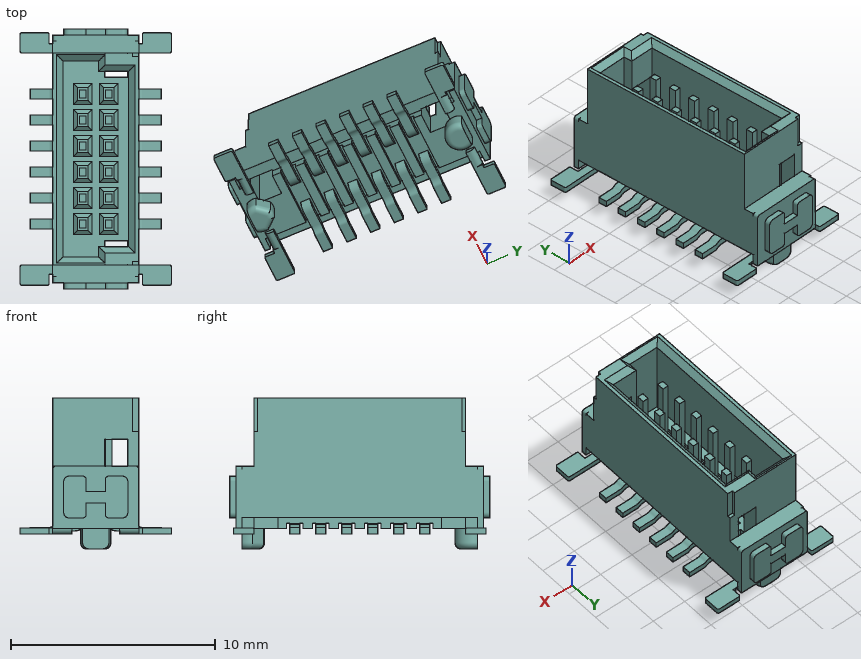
import cadquery as cq
import math


HOUSING_WIDTH = 4.2
SHROUD_LENGTH = 10.35
BASE_LENGTH = 12.1
HOUSING_BOTTOM = 0.27
SHOULDER_Z = 3.32
HOUSING_TOP = 6.65
SHOULDER_ROUND = 0.15
SHOULDER_ROUND_LENGTH = 0.3

CAVITY_HALF_WIDTH = 1.6
CAVITY_HALF_LENGTH = 4.78
KEY_HALF_LENGTH = 4.275
KEY_X = 0.14
CAVITY_FLOOR = 2.0
MOUTH_CHAMFER = 0.31

LATCH_SLOT_X = (0.44, 1.56)
LATCH_SLOT_TOP = 4.62
LATCH_SLOT_START = 4.0

RELIEF_X = 0.3
RELIEF_Y = 0.17
RELIEF_DEPTH = 1.63

RECESS_LENGTH = 11.52
RECESS_TOP = 0.81
RECESS_DEPTH = 0.6

OVERALL_LENGTH = 12.7
H_WIDTH = 3.13
H_LEG_GAP = 0.93
H_BOTTOM = 0.79
H_TOP = 2.83
H_BAR_BOTTOM = 1.51
H_BAR_TOP = 2.09
H_OUTER_RADIUS = 0.26
H_INNER_RADIUS = 0.17

PITCH = 1.27
PINS_PER_ROW = 6
PIN_SECTION = (0.32, 0.4)
PIN_TOP = 5.64
COLLAR_BASE = (0.9, 1.02)
COLLAR_HEIGHT = 0.2
LEAD_WIDTH = 0.5
LEAD_TIP_X = 3.2
LEAD_THICKNESS = PIN_SECTION[0]
LEAD_RISE = 0.15
RAMP_X = (1.83, 2.28)
RAMP_INFLECTION = 0.3
BEND_RADIUS = 0.55
NOTCH_WIDTH = 0.8
NOTCH_TOP = 0.52

TAB_SPAN = 7.4
TAB_THICKNESS = 0.3
TAB_Y = (5.165, 6.17)
TAB_INNER_X = 1.17
TAB_NECK_X = 2.28
TAB_NECK_Y = 5.63
TAB_CORNER_RADIUS = 0.1
TAB_NOTCH_RADIUS = 0.07
TAB_BEND_RADIUS = 0.28

PEG_RADIUS = 0.74
PEG_Y = 5.39
PEG_BOTTOM = -0.73
PEG_ROUND = 0.3
PEG_OUTER_FLAT_Y = RECESS_LENGTH / 2
PEG_FACET_OFFSET = 0.644
PEG_FACET_ANGLE = 41.5

SIDES = (-1, 1)
PIN_YS = [(i - (PINS_PER_ROW - 1) / 2) * PITCH for i in range(PINS_PER_ROW)]


def box(x_range, y_range, z_range):
    """Box between two coordinates on each axis, given in either order."""
    ranges = [sorted(r) for r in (x_range, y_range, z_range)]
    sizes = [high - low for low, high in ranges]
    corner = tuple(low for low, high in ranges)
    return cq.Workplane("XY").box(*sizes, centered=False).translate(corner)


def centered_range(length):
    return (-length / 2, length / 2)


def make_base():
    """Lower block with its top edges rounded for a short way in from each end."""
    base = box(centered_range(HOUSING_WIDTH), centered_range(BASE_LENGTH), (HOUSING_BOTTOM, SHOULDER_Z))
    rounded = base.edges("|Y and >Z").fillet(SHOULDER_ROUND)
    square_length = BASE_LENGTH - 2 * SHOULDER_ROUND_LENGTH
    middle = box(
        centered_range(HOUSING_WIDTH), centered_range(square_length), (HOUSING_BOTTOM, SHOULDER_Z)
    )
    return rounded.union(middle)


def cavity_outline(growth):
    """Corners of the cavity, with every wall moved outward by growth."""
    side = CAVITY_HALF_WIDTH + growth
    end = CAVITY_HALF_LENGTH + growth
    key_end = KEY_HALF_LENGTH + growth
    key_x = KEY_X + growth
    return [
        (-side, -end),
        (key_x, -end),
        (key_x, -key_end),
        (side, -key_end),
        (side, key_end),
        (key_x, key_end),
        (key_x, end),
        (-side, end),
    ]


def make_cavity():
    straight = (
        cq.Workplane("XY", origin=(0, 0, CAVITY_FLOOR))
        .polyline(cavity_outline(0))
        .close()
        .extrude(HOUSING_TOP - CAVITY_FLOOR)
    )
    mouth = (
        cq.Workplane("XY", origin=(0, 0, HOUSING_TOP - MOUTH_CHAMFER))
        .polyline(cavity_outline(0))
        .close()
        .workplane(offset=MOUTH_CHAMFER)
        .polyline(cavity_outline(MOUTH_CHAMFER))
        .close()
        .loft(ruled=True)
    )
    return straight.union(mouth)


def make_housing():
    side = HOUSING_WIDTH / 2
    shroud_end = SHROUD_LENGTH / 2
    shroud = box((-side, side), (-shroud_end, shroud_end), (HOUSING_BOTTOM, HOUSING_TOP))
    housing = make_base().union(shroud).cut(make_cavity())

    for end in SIDES:
        latch_slot_y = (end * LATCH_SLOT_START, end * shroud_end)
        relief_y = (end * (shroud_end - RELIEF_Y), end * shroud_end)
        housing = housing.cut(box(LATCH_SLOT_X, latch_slot_y, (HOUSING_BOTTOM, LATCH_SLOT_TOP)))
        relief_z = (HOUSING_TOP - RELIEF_DEPTH, HOUSING_TOP)
        housing = housing.cut(box((side - RELIEF_X, side), relief_y, relief_z))

    for side_sign in SIDES:
        recess_x = (side_sign * (side - RECESS_DEPTH), side_sign * side)
        recess = box(recess_x, centered_range(RECESS_LENGTH), (HOUSING_BOTTOM, RECESS_TOP))
        housing = housing.cut(recess)

    for y in PIN_YS:
        notch_y = (y - NOTCH_WIDTH / 2, y + NOTCH_WIDTH / 2)
        housing = housing.cut(box((-side, side), notch_y, (HOUSING_BOTTOM, NOTCH_TOP)))
    return housing


def make_raised_h():
    """H on the -Y end: two rounded legs joined by a crossbar."""
    depth = (OVERALL_LENGTH - BASE_LENGTH) / 2
    y_range = (-OVERALL_LENGTH / 2, -OVERALL_LENGTH / 2 + depth)
    leg = box((H_LEG_GAP / 2, H_WIDTH / 2), y_range, (H_BOTTOM, H_TOP))
    leg = leg.edges("|Y and >X").fillet(H_OUTER_RADIUS)
    leg = leg.edges("|Y and <X").fillet(H_INNER_RADIUS)
    bar_overlap = H_INNER_RADIUS
    bar = box(centered_range(H_LEG_GAP + bar_overlap), y_range, (H_BAR_BOTTOM, H_BAR_TOP))
    return leg.union(leg.mirror("YZ")).union(bar)


def make_contact():
    """Contact of the +X row at Y = 0: foot, ramp, bend and upright pin, with a collar on the floor."""
    pin_x = PITCH / 2
    pin_near_x = pin_x - LEAD_THICKNESS / 2
    pin_far_x = pin_x + LEAD_THICKNESS / 2
    bend_x = pin_near_x + BEND_RADIUS
    bend_z = LEAD_RISE + BEND_RADIUS
    inner_radius = BEND_RADIUS - LEAD_THICKNESS
    diagonal = math.sqrt(0.5)
    ramp_in, ramp_out = RAMP_X
    inflection_x = ramp_out + (ramp_in - ramp_out) * RAMP_INFLECTION
    inflection_z = LEAD_RISE * RAMP_INFLECTION

    lead = (
        cq.Workplane("XZ", origin=(0, LEAD_WIDTH / 2, 0))
        .moveTo(LEAD_TIP_X, 0)
        .lineTo(LEAD_TIP_X, LEAD_THICKNESS)
        .lineTo(ramp_out, LEAD_THICKNESS)
        .tangentArcPoint((inflection_x, LEAD_THICKNESS + inflection_z), relative=False)
        .tangentArcPoint((ramp_in, LEAD_THICKNESS + LEAD_RISE), relative=False)
        .lineTo(bend_x, LEAD_RISE + LEAD_THICKNESS)
        .threePointArc(
            (bend_x - inner_radius * diagonal, bend_z - inner_radius * diagonal), (pin_far_x, bend_z)
        )
        .lineTo(pin_near_x, bend_z)
        .threePointArc(
            (bend_x - BEND_RADIUS * diagonal, bend_z - BEND_RADIUS * diagonal), (bend_x, LEAD_RISE)
        )
        .lineTo(ramp_in, LEAD_RISE)
        .tangentArcPoint((inflection_x, inflection_z), relative=False)
        .tangentArcPoint((ramp_out, 0), relative=False)
        .close()
        .extrude(LEAD_WIDTH)
    )
    pin = box((pin_near_x, pin_far_x), centered_range(PIN_SECTION[1]), (bend_z, PIN_TOP))
    collar_top = [size - 2 * COLLAR_HEIGHT for size in COLLAR_BASE]
    collar = (
        cq.Workplane("XY", origin=(pin_x, 0, CAVITY_FLOOR))
        .rect(*COLLAR_BASE)
        .workplane(offset=COLLAR_HEIGHT)
        .rect(*collar_top)
        .loft(ruled=True)
    )
    return lead.union(pin).union(collar)


def make_tab():
    """Solder tab at the +X, +Y corner, its neck rolled upward under the housing."""
    tip_x = TAB_SPAN / 2
    foot = box((TAB_NECK_X, tip_x), TAB_Y, (0, TAB_THICKNESS))
    foot = foot.edges("|Z and >X").fillet(TAB_CORNER_RADIUS)
    foot = foot.edges("|Z and <X and >Y").fillet(TAB_NOTCH_RADIUS)
    neck_y = (TAB_Y[0], TAB_NECK_Y)
    roll_end_x = HOUSING_WIDTH / 2
    neck = box((roll_end_x, TAB_NECK_X), neck_y, (0, TAB_THICKNESS))
    rolled = box((TAB_INNER_X, roll_end_x), neck_y, (0, TAB_THICKNESS))
    rolled = rolled.edges("|X and >Y and <Z").fillet(TAB_BEND_RADIUS)
    return foot.union(neck).union(rolled)


def make_peg(faceted):
    """Peg at the +Y end, flattened on its outer side; facets narrow the inner side to a wedge."""
    height = HOUSING_BOTTOM - PEG_BOTTOM
    peg = cq.Workplane("XY").circle(PEG_RADIUS).extrude(height)
    if faceted:
        for angle in (-PEG_FACET_ANGLE, PEG_FACET_ANGLE - 180):
            waste = box((PEG_FACET_OFFSET, PEG_RADIUS), centered_range(2 * PEG_RADIUS), (0, height))
            peg = peg.cut(waste.rotate((0, 0, 0), (0, 0, 1), angle))
    peg = peg.faces("<Z").edges().fillet(PEG_ROUND).translate((0, PEG_Y, PEG_BOTTOM))
    keep = box(
        centered_range(2 * PEG_RADIUS),
        (PEG_Y - PEG_RADIUS, PEG_OUTER_FLAT_Y),
        (PEG_BOTTOM, HOUSING_BOTTOM),
    )
    return peg.intersect(keep)


result = make_housing()
raised_h = make_raised_h()
result = result.union(raised_h).union(raised_h.mirror("XZ"))

contact = make_contact()
for contact_y in PIN_YS:
    placed = contact.translate((0, contact_y, 0))
    result = result.union(placed).union(placed.mirror("YZ"))

tab_pair = make_tab()
tab_pair = tab_pair.union(tab_pair.mirror("YZ"))
result = result.union(tab_pair).union(tab_pair.mirror("XZ"))
round_peg = make_peg(faceted=False)
wedge_peg = make_peg(faceted=True).mirror("XZ")
result = result.union(round_peg).union(wedge_peg)